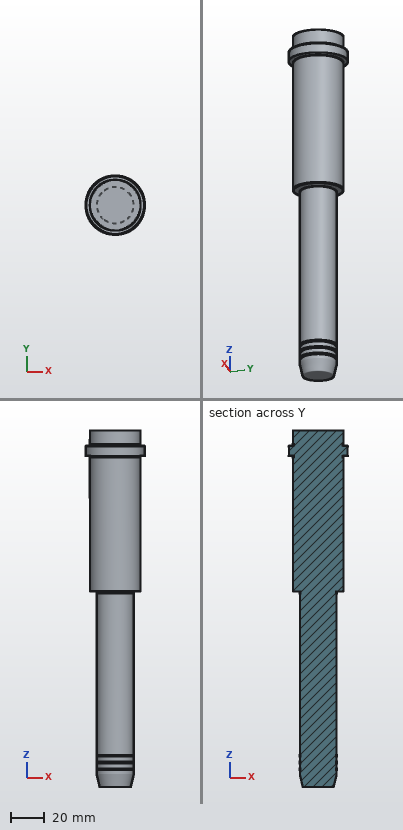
import cadquery as cq
import math

total_length = 210.0

body_diameter = 30.0
body_length = 95.0
body_end_chamfer = 0.5
collar_diameter = 35.0
collar_top_depth = 9.0
collar_thickness = 6.0
collar_chamfer = 0.5

pin_diameter = 22.0
nose_length = 7.5
nose_taper_angle = 13.5
nose_edge_radius = 0.5

groove_radius = 0.5
nose_groove_count = 3
nose_groove_pitch = 4.0
first_nose_groove_height = 10.5

body_bottom = total_length - body_length
collar_top = total_length - collar_top_depth
collar_bottom = collar_top - collar_thickness
body_radius = body_diameter / 2
collar_radius = collar_diameter / 2
pin_radius = pin_diameter / 2
nose_tip_radius = pin_radius - nose_length * math.tan(math.radians(nose_taper_angle))


def revolve_about_z(profile):
    """Full turn of an XZ profile about the Z axis."""
    return profile.revolve(360, (0, 0, 0), (0, 1, 0))


def cylinder(radius, bottom, top):
    """Solid cylinder on the Z axis."""
    return cq.Workplane("XY").workplane(offset=bottom).circle(radius).extrude(top - bottom)


def ring_cutter(shaft_radius, height):
    """Ring of round section, centred on a shaft surface, that cuts a half-round groove."""
    return revolve_about_z(cq.Workplane("XZ").moveTo(-shaft_radius, height).circle(groove_radius))


def make_body():
    body = cylinder(body_radius, body_bottom, total_length)
    body = body.faces("<Z").edges().chamfer(body_end_chamfer)
    for height in (collar_top + groove_radius, collar_bottom - groove_radius):
        body = body.cut(ring_cutter(body_radius, height))
    return body


def make_collar():
    collar = cylinder(collar_radius, collar_bottom, collar_top)
    return collar.faces(">Z").edges().chamfer(collar_chamfer)


def make_nose():
    profile = (
        cq.Workplane("XZ")
        .lineTo(-nose_tip_radius, 0)
        .lineTo(-pin_radius, nose_length)
        .lineTo(0, nose_length)
    )
    nose = revolve_about_z(profile.close())
    return nose.faces("<Z").edges().fillet(nose_edge_radius)


def make_pin():
    pin = cylinder(pin_radius, nose_length, body_bottom)
    pin = pin.cut(ring_cutter(pin_radius, body_bottom - groove_radius))
    for index in range(nose_groove_count):
        height = first_nose_groove_height + index * nose_groove_pitch
        pin = pin.cut(ring_cutter(pin_radius, height))
    return pin


result = make_body().union(make_collar()).union(make_pin()).union(make_nose())